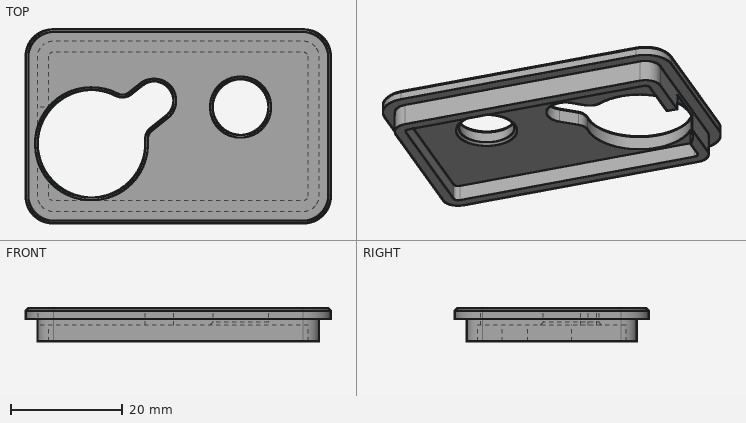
import cadquery as cq
import math

length = 55.0
width = 35.0
height = 6.0
corner_radius = 5.0
lip_height = 2.0
top_chamfer = 0.5

ledge = 2.15
floor_height = 3.0
wall = 2.0
skirt_length = length - 2 * ledge
skirt_width = width - 2 * ledge
skirt_radius = corner_radius - ledge
cavity_depth = height - floor_height

notch_width = 7.9
notch_y = -0.45

hole_diameter = 10.0
hole_bottom_chamfer = 0.5
hole_x, hole_y = 11.2, 3.45

key_radius = 9.7
key_x, key_y = -15.6, -3.15
slot_radius = 3.45
slot_x, slot_y = -4.35, 4.6
slot_angle = 38.5
key_fillet = 2.5


def rounded_block(size_x, size_y, size_z, radius, bottom):
    return (
        cq.Workplane("XY", origin=(0, 0, bottom))
        .rect(size_x, size_y)
        .extrude(size_z)
        .edges("|Z")
        .fillet(radius)
    )


def keyhole():
    """Full-height keyhole solid with both inward corners rounded."""
    angle = math.radians(slot_angle)
    along_x, along_y = math.cos(angle), math.sin(angle)
    offset_x, offset_y = slot_x - key_x, slot_y - key_y
    reach = offset_x * along_x + offset_y * along_y
    shift = offset_y * along_x - offset_x * along_y

    circle = cq.Workplane("XY").center(key_x, key_y).circle(key_radius).extrude(height)
    arm = (
        cq.Workplane("XY", origin=(key_x, key_y, 0))
        .transformed(rotate=(0, 0, slot_angle))
        .center(reach / 2, shift)
        .rect(reach, 2 * slot_radius)
        .extrude(height)
    )
    end = cq.Workplane("XY").center(slot_x, slot_y).circle(slot_radius).extrude(height)
    body = circle.union(arm).union(end)

    for side in (-1, 1):
        across = shift + side * slot_radius
        distance = math.sqrt(key_radius**2 - across**2)
        corner_x = key_x + distance * along_x - across * along_y
        corner_y = key_y + distance * along_y + across * along_x
        corner = cq.selectors.NearestToPointSelector((corner_x, corner_y, height / 2))
        body = body.edges("|Z").edges(corner).fillet(key_fillet)
    return body


lip = rounded_block(length, width, lip_height, corner_radius, height - lip_height)
skirt = rounded_block(skirt_length, skirt_width, height - lip_height, skirt_radius, 0)
cavity = rounded_block(
    skirt_length - 2 * wall, skirt_width - 2 * wall, cavity_depth, skirt_radius - wall, 0
)
result = lip.union(skirt).cut(cavity)

notch = cq.Workplane("XY").box(wall, notch_width, cavity_depth, centered=(False, True, False))
result = result.cut(notch.translate((-skirt_length / 2, notch_y, 0)))

hole = cq.Workplane("XY").center(hole_x, hole_y).circle(hole_diameter / 2).extrude(height)
result = result.cut(hole).cut(keyhole())

hole_flare = (
    cq.Workplane("XY", origin=(hole_x, hole_y, cavity_depth))
    .circle(hole_diameter / 2 + hole_bottom_chamfer)
    .workplane(offset=hole_bottom_chamfer)
    .circle(hole_diameter / 2)
    .loft(ruled=True)
)
result = result.cut(hole_flare)

result = result.faces(">Z").edges().chamfer(top_chamfer)